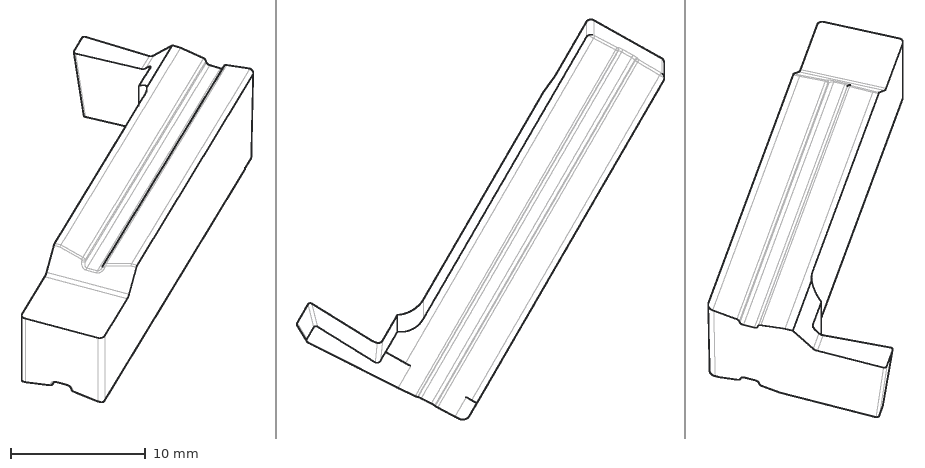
import cadquery as cq
import math

overall_x = 14.0
overall_y = 30.9
overall_z = 8.08

shank_width = 6.6
end_corner_radius = 0.4
back_corner_radius = 0.6

land_width = 0.48
vee_angle = 10.0
groove_mouth_half = 0.79
groove_floor_half = 0.63
groove_depth = 0.82
groove_mouth_radius = 0.25
groove_floor_radius = 0.29

ledge_z = 6.4
shoulder_top_y = 6.78
shoulder_fillet = 0.5
shoulder_edge_radius = 0.24
end_edge_radius = 0.18

block_width = 1.19
block_front_y = 26.58
block_fillet = 1.9

relief_start_y = 28.35
relief_height = 0.08

blade_top_z = ledge_z
blade_tip_width = 2.03
neck_top_offset = 0.16
neck_fillet = 0.45
blade_root_fillet = 0.28
tip_corner_radius = 0.2
side_taper = 2.5
side_draft = 2.6
tip_clearance = 6.0

margin = 2.0
tolerance = 0.05

right_x = shank_width / 2
left_x = -right_x
tip_x = right_x - overall_x
block_x = left_x - block_width
neck_top_x = left_x - neck_top_offset
neck_bottom_x = neck_top_x - (overall_z - blade_top_z)
flat_x = right_x - land_width
vee_depth = (flat_x - groove_mouth_half) * math.tan(math.radians(vee_angle))
taper_slope = math.tan(math.radians(side_taper))
draft_slope = math.tan(math.radians(side_draft))
tip_slope = math.tan(math.radians(tip_clearance))


def blank():
    """Front outline of shank, neck and blade, extruded along the full length."""
    tip_bottom_x = tip_x + blade_top_z * tip_slope
    outline = [
        (tip_bottom_x, 0),
        (tip_x, blade_top_z),
        (neck_bottom_x, blade_top_z),
        (neck_top_x, overall_z),
        (right_x, overall_z),
        (right_x, 0),
    ]
    solid = cq.Workplane("XZ").polyline(outline).close().extrude(-(overall_y + margin))
    neck_edge = cq.selectors.NearestToPointSelector((neck_bottom_x, overall_y / 2, blade_top_z))
    return solid.edges(neck_edge).fillet(neck_fillet)


def locating_groove(face_z, inward):
    """Cutter for the V and its groove; inward is +1 or -1, pointing into the part."""
    half = [
        (groove_floor_half, groove_depth),
        (groove_mouth_half, vee_depth),
        (flat_x, 0),
    ]
    right_side = [(x, face_z + inward * depth) for x, depth in half]
    left_side = [(-x, z) for x, z in reversed(right_side)]
    cutter = cq.Workplane("XZ").polyline(left_side + right_side).close().extrude(-(overall_y + margin))
    for side in (-1, 1):
        for x, depth, radius in (
            (groove_mouth_half, vee_depth, groove_mouth_radius),
            (groove_floor_half, groove_depth, groove_floor_radius),
        ):
            corner = (side * x, (overall_y + margin) / 2, face_z + inward * depth)
            cutter = cutter.edges(cq.selectors.NearestToPointSelector(corner)).fillet(radius)
    return cutter


def shoulder_cutter():
    """Space above the ledge, with the shoulder and its root fillet."""
    ledge_end_y = shoulder_top_y - (overall_z - ledge_z)
    outline = [
        (-margin, ledge_z),
        (ledge_end_y, ledge_z),
        (shoulder_top_y + margin, overall_z + margin),
        (-margin, overall_z + margin),
    ]
    cutter = cq.Workplane("YZ").polyline(outline).close().extrude(right_x + margin, both=True)
    root = cq.selectors.NearestToPointSelector((0, ledge_end_y, ledge_z))
    return cutter.edges(root).fillet(shoulder_fillet)


def side_space():
    """Space beside the shank and in front of the block, with the block's root fillet."""
    sweep_x = block_fillet - block_width
    arc_end_y = block_front_y - math.sqrt(block_fillet**2 - sweep_x**2)
    middle_angle = math.acos(sweep_x / block_fillet) / 2
    centre_x = left_x - block_fillet
    middle = (
        centre_x + block_fillet * math.cos(middle_angle),
        arc_end_y + block_fillet * math.sin(middle_angle),
    )
    return (
        cq.Workplane("XY", origin=(0, 0, -margin))
        .moveTo(tip_x - margin, -margin)
        .lineTo(left_x, -margin)
        .lineTo(left_x, arc_end_y)
        .threePointArc(middle, (block_x, block_front_y))
        .lineTo(tip_x - margin, block_front_y)
        .close()
        .extrude(overall_z + 2 * margin)
    )


def back_y(x, z):
    """Back face: falls away from the tip towards +X and drafts inward going down."""
    return overall_y - (x - tip_x - tip_corner_radius) * taper_slope + (z - blade_top_z) * draft_slope


def blade_front_y(x, z):
    """Front face of the blade, tapering and drafting the opposite way to the back."""
    return overall_y - blade_tip_width + (x - tip_x) * taper_slope - (z - blade_top_z) * draft_slope


def drafted_cutter(x_start, x_end, face_y, far_y):
    """Block between y = far_y and the drafted face_y(x, z), over the full height."""
    sections = []
    for z in (-margin, overall_z + margin):
        corners = [
            (x_start, face_y(x_start, z), z),
            (x_end, face_y(x_end, z), z),
            (x_end, far_y, z),
            (x_start, far_y, z),
        ]
        points = [cq.Vector(*corner) for corner in corners]
        sections.append(cq.Wire.makePolygon(points, close=True))
    return cq.Workplane(cq.Solid.makeLoft(sections, True))


def blade_front_space():
    """Space in front of the blade; its inner corner rounds the blade root."""
    cutter = drafted_cutter(tip_x - margin, block_x, blade_front_y, block_front_y - margin)
    mid_z = overall_z / 2
    root = cq.selectors.NearestToPointSelector((block_x, blade_front_y(block_x, mid_z), mid_z))
    return cutter.edges(root).fillet(blade_root_fillet)


def back_space():
    """Everything behind the drafted back face."""
    return drafted_cutter(tip_x - margin, right_x + margin, back_y, overall_y + 2 * margin)


def underside_relief():
    """Shallow step that lifts the underside of the blade and of the back end of the shank."""
    width = overall_x + 2 * margin
    length = overall_y + margin - relief_start_y
    box = cq.Workplane("XY").box(width, length, relief_height + margin, centered=False)
    return box.translate((tip_x - margin, relief_start_y, -margin))


def round_shoulder_edge(solid):
    """Round the edges where the shoulder slope meets the lands, V and groove."""
    slope = solid.faces(cq.selectors.ParallelDirSelector(cq.Vector(0, -1, 1)))
    above_ledge = cq.selectors.BoxSelector(
        (left_x + tolerance, 0, overall_z - groove_depth - tolerance),
        (right_x - tolerance, shoulder_top_y + margin, overall_z + tolerance),
    )
    return slope.edges(above_ledge).fillet(shoulder_edge_radius)


def round_end_edge(solid):
    """Round the underside edges of the plain end face."""
    underside = cq.selectors.BoxSelector(
        (left_x, -tolerance, -tolerance),
        (right_x, tolerance, groove_depth + tolerance),
    )
    return solid.faces("<Y").edges(underside).fillet(end_edge_radius)


def end_corner_space(side):
    """Space outside one rounded upright corner of the plain end; side is -1 or +1 along X."""
    size = end_corner_radius
    centre_x = side * (right_x - size)
    square = cq.Workplane("XY").box(size, size, overall_z).translate(
        (centre_x + side * size / 2, size / 2, overall_z / 2)
    )
    return square.cut(cq.Workplane("XY").center(centre_x, size).circle(size).extrude(overall_z))


def round_edge(solid, point, radius):
    """Fillet the single edge whose middle lies closest to the given point."""
    return solid.edges(cq.selectors.NearestToPointSelector(point)).fillet(radius)


part = blank().cut(side_space()).cut(blade_front_space()).cut(back_space())

mid_blade_z = (blade_top_z + relief_height) / 2
mid_tip_x = tip_x + (blade_top_z - mid_blade_z) * tip_slope
for face_y in (back_y, blade_front_y):
    tip_corner = (mid_tip_x, face_y(mid_tip_x, mid_blade_z), mid_blade_z)
    part = round_edge(part, tip_corner, tip_corner_radius)

mid_z = overall_z / 2
back_corner = (right_x, back_y(right_x, mid_z), mid_z)
part = round_edge(part, back_corner, back_corner_radius)

part = part.cut(locating_groove(overall_z, -1)).cut(locating_groove(0, 1))
part = part.cut(underside_relief()).cut(shoulder_cutter())
part = round_shoulder_edge(part)

part = round_end_edge(part)
for side in (-1, 1):
    part = part.cut(end_corner_space(side))

result = part